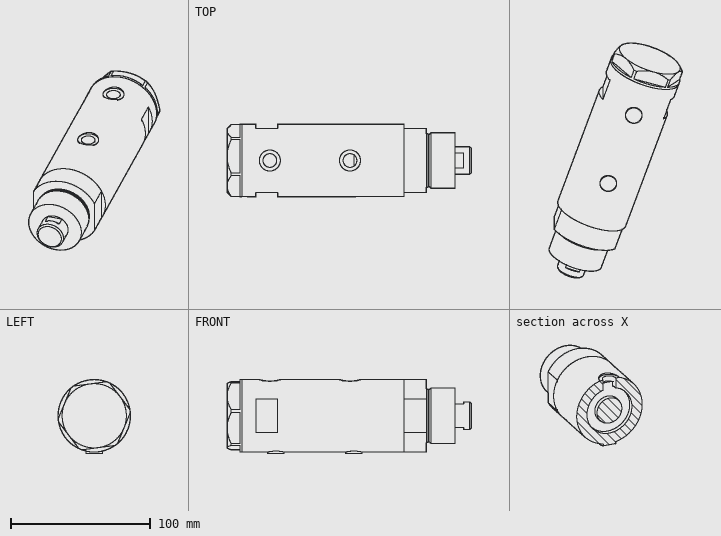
import cadquery as cq
import math

CAP_HEX_END = 9.1
HOUSING_START = 10.9
CAP_PLUG_END = 36.8
HEAD_START = 90.8
HOUSING_END = 126.9
SHOULDER_END = 142.8
NECK_END = 146.0
NOSE_END = 163.3
ROD_FLAT_END = 169.5
ROD_END = 175.0

BODY_RADIUS = 52.0 / 2
BORE_RADIUS = 17.5
COUNTERBORE_RADIUS = 21.0
ROD_RADIUS = 10.0
WRENCH_FLAT = 46.0 / 2

HEX_CORNER_ANGLE = 7.5
CAP_CHAMFER = 3.0

HOUSING_FLAT_START = 20.7
HOUSING_FLAT_END = 36.2
PORT_STATIONS = (30.6, 88.0)
PORT_RADIUS = 4.9
SPOT_FACE_RADIUS = 7.5
SPOT_FACE_DEPTH = 1.2
BOSS_STATIONS = (35.0, HEAD_START)
BOSS_RADIUS = 6.0
BOSS_HEIGHT = 1.0

NOSE_RADIUS = 20.0
NECK_RADIUS = 19.3
GROOVE_RADIUS = 18.7
GROOVE_START = SHOULDER_END + 1.0
GROOVE_WIDTH = 0.9

ROD_FLAT = 17.0 / 2
ROD_CHAMFER = 1.2


def cylinder_x(start, end, radius):
    """Solid cylinder on the X axis."""
    return cq.Workplane("YZ", origin=(start, 0, 0)).circle(radius).extrude(end - start)


def cylinder_z(station, bottom, top, radius):
    """Solid vertical cylinder that crosses the X axis at the station."""
    return cq.Workplane("XY", origin=(station, 0, bottom)).circle(radius).extrude(top - bottom)


def turn(body, angle):
    """Rotate a body about the X axis."""
    return body.rotate((0, 0, 0), (1, 0, 0), angle)


def slab_between_flats(start, end, distance):
    """Slab that keeps everything within the distance on either side of the axis along Y."""
    slab = cq.Workplane("XY").box(end - start, 2 * distance, 2 * BODY_RADIUS)
    return slab.translate(((start + end) / 2, 0, 0))


def flat_cutter(start, end, distance):
    """Material outside a pair of flats that face +Y and -Y."""
    return cylinder_x(start, end, BODY_RADIUS).cut(slab_between_flats(start, end, distance))


def make_cap():
    """Hexagon head with a chamfered face, a round flange and a plug that closes the bore."""
    corner_diameter = 2 * WRENCH_FLAT / math.cos(math.pi / 6)
    hexagon = cq.Workplane("YZ").polygon(6, corner_diameter).extrude(CAP_HEX_END)
    envelope = cylinder_x(0, CAP_HEX_END, BODY_RADIUS).faces("<X").chamfer(CAP_CHAMFER)
    flange = cylinder_x(CAP_HEX_END, HOUSING_START, BODY_RADIUS)
    plug = cylinder_x(HOUSING_START, CAP_PLUG_END, BORE_RADIUS)
    cap = hexagon.intersect(envelope).union(flange).union(plug)
    return turn(cap, -HEX_CORNER_ANGLE)


def make_housing():
    """Tube with two bosses below, wrench flats on the sides and two spot-faced ports on top."""
    housing = cylinder_x(HOUSING_START, HOUSING_END, BODY_RADIUS)
    for station in BOSS_STATIONS:
        housing = housing.union(cylinder_z(station, -BODY_RADIUS - BOSS_HEIGHT, 0, BOSS_RADIUS))
    housing = housing.cut(flat_cutter(HOUSING_FLAT_START, HOUSING_FLAT_END, WRENCH_FLAT))
    housing = housing.cut(cylinder_x(HOUSING_START, HEAD_START, BORE_RADIUS))
    housing = housing.cut(cylinder_x(HEAD_START, HOUSING_END, COUNTERBORE_RADIUS))
    for station in PORT_STATIONS:
        spot_bottom = BODY_RADIUS - SPOT_FACE_DEPTH
        housing = housing.cut(cylinder_z(station, spot_bottom, BODY_RADIUS, SPOT_FACE_RADIUS))
        housing = housing.cut(cylinder_z(station, 0, BODY_RADIUS, PORT_RADIUS))
    return housing


def make_head():
    """Turned end piece: spigot, shoulder with flats, grooved neck and nose, bored for the rod."""
    groove_end = GROOVE_START + GROOVE_WIDTH
    half_section = [
        (HEAD_START, ROD_RADIUS),
        (HEAD_START, COUNTERBORE_RADIUS),
        (HOUSING_END, COUNTERBORE_RADIUS),
        (HOUSING_END, BODY_RADIUS),
        (SHOULDER_END, BODY_RADIUS),
        (SHOULDER_END, NECK_RADIUS),
        (GROOVE_START, NECK_RADIUS),
        (GROOVE_START, GROOVE_RADIUS),
        (groove_end, GROOVE_RADIUS),
        (NECK_END, NOSE_RADIUS),
        (NOSE_END, NOSE_RADIUS),
        (NOSE_END, ROD_RADIUS),
    ]
    head = cq.Workplane("XZ").polyline(half_section).close().revolve(360, (0, 0, 0), (1, 0, 0))
    return head.cut(flat_cutter(HOUSING_END, SHOULDER_END, WRENCH_FLAT))


def make_rod():
    """Round rod from the cap plug through the head, with two flats outside the nose."""
    rod = cylinder_x(CAP_PLUG_END, ROD_END, ROD_RADIUS).faces(">X").chamfer(ROD_CHAMFER)
    return rod.cut(turn(flat_cutter(NOSE_END, ROD_FLAT_END, ROD_FLAT), 90))


cap = make_cap()
housing = make_housing()
head = make_head()
rod = make_rod()

result = cq.Compound.makeCompound([cap.val(), housing.val(), head.val(), rod.val()])